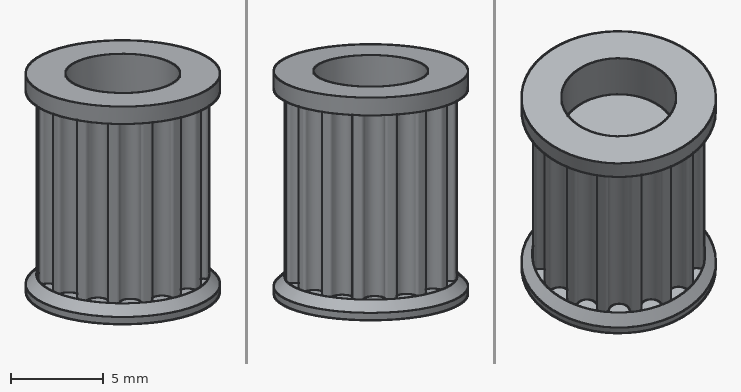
import cadquery as cq
import math

height = 12.5
flange_radius = 5.25
flange_height = 1.0

tooth_count = 16
barrel_radius = 4.68
groove_radius = 0.56
groove_depth = 0.7
tip_radius = 0.15

bore_diameter = 6.2
bore_depth = 2.65

cone_height = flange_radius - barrel_radius
barrel_height = height - 2 * flange_height


def make_cylinder(radius, base_height, length):
    return cq.Workplane("XY", origin=(0, 0, base_height)).circle(radius).extrude(length)


def make_groove_cutter():
    """Round groove on the +X axis whose mouth flares out over the rounded tooth tips."""
    bottom_x = barrel_radius - groove_depth
    groove_x = bottom_x + groove_radius

    tip_distance = barrel_radius - tip_radius
    centre_gap = groove_radius + tip_radius
    tip_x = (tip_distance**2 + groove_x**2 - centre_gap**2) / (2 * groove_x)
    tip_y = math.sqrt(tip_distance**2 - tip_x**2)

    wall_x = groove_x + (tip_x - groove_x) * groove_radius / centre_gap
    wall_y = tip_y * groove_radius / centre_gap
    mouth_x = tip_x * barrel_radius / tip_distance
    mouth_y = tip_y * barrel_radius / tip_distance

    wall_angle = math.atan2(wall_y - tip_y, wall_x - tip_x)
    mouth_angle = math.atan2(tip_y, tip_x)
    middle_angle = (wall_angle + mouth_angle) / 2
    middle_x = tip_x + tip_radius * math.cos(middle_angle)
    middle_y = tip_y + tip_radius * math.sin(middle_angle)

    return (
        cq.Workplane("XY", origin=(0, 0, flange_height))
        .moveTo(mouth_x, -mouth_y)
        .threePointArc((middle_x, -middle_y), (wall_x, -wall_y))
        .threePointArc((bottom_x, 0), (wall_x, wall_y))
        .threePointArc((middle_x, middle_y), (mouth_x, mouth_y))
        .threePointArc((barrel_radius, 0), (mouth_x, -mouth_y))
        .close()
        .extrude(barrel_height)
    )


def make_barrel():
    """Barrel between the flanges, with a tooth centred on each axis."""
    barrel = make_cylinder(barrel_radius, flange_height, barrel_height)
    cutter = make_groove_cutter()
    tooth_pitch_angle = 360 / tooth_count
    for index in range(tooth_count):
        groove_angle = (index + 0.5) * tooth_pitch_angle
        barrel = barrel.cut(cutter.rotate((0, 0, 0), (0, 0, 1), groove_angle))
    return barrel


lower_flange = make_cylinder(flange_radius, 0, flange_height).faces(">Z").chamfer(cone_height)
upper_flange = make_cylinder(flange_radius, height - flange_height, flange_height)
bore = make_cylinder(bore_diameter / 2, height - bore_depth, bore_depth)

result = lower_flange.union(make_barrel()).union(upper_flange).cut(bore)